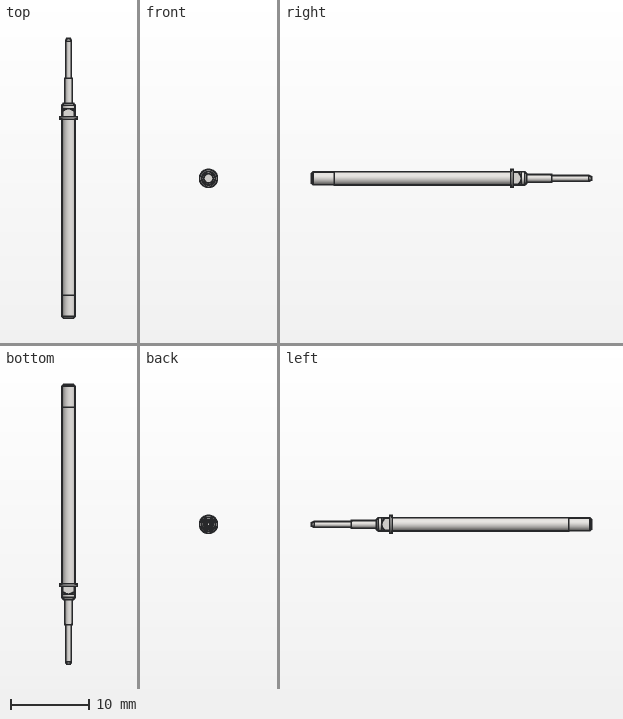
import cadquery as cq

length = 35.8
rear_y = -length / 2
tip_y = length / 2

tip_flat_diameter = 0.43
pin_diameter = 0.75
sleeve_diameter = 1.0
neck_diameter = 1.2
body_diameter = 1.72
tail_diameter = 1.7
flange_diameter = 2.3

tip_cone_length = 0.35
pin_length = 5.1
sleeve_length = 3.2
neck_cone_length = 0.3
collar_length = 0.43
square_length = 1.0
flange_thickness = 0.32
tail_length = 2.95
rear_chamfer = 0.25

square_side = body_diameter
corner_cone_length = 0.32

tip_shoulder_y = tip_y - tip_cone_length
pin_end_y = tip_y - pin_length
sleeve_end_y = pin_end_y - sleeve_length
collar_front_y = sleeve_end_y - neck_cone_length
square_front_y = collar_front_y - collar_length
flange_front_y = square_front_y - square_length
flange_rear_y = flange_front_y - flange_thickness
tail_front_y = rear_y + tail_length

pin_radius = pin_diameter / 2
sleeve_radius = sleeve_diameter / 2
neck_radius = neck_diameter / 2
body_radius = body_diameter / 2
tail_radius = tail_diameter / 2
flange_radius = flange_diameter / 2


def revolve_about_y(outline):
    """Revolve a list of (radius, y) points, closed along the Y axis."""
    start_y = outline[0][1]
    end_y = outline[-1][1]
    points = [(0, start_y)] + outline + [(0, end_y)]
    return cq.Workplane("XY").polyline(points).close().revolve(360, (0, 0, 0), (0, 1, 0))


def make_turned_body():
    """Round stepped pin, from the chamfered rear end to the tip."""
    return revolve_about_y([
        (tail_radius - rear_chamfer, rear_y),
        (tail_radius, rear_y + rear_chamfer),
        (tail_radius, tail_front_y),
        (body_radius, tail_front_y),
        (body_radius, flange_rear_y),
        (flange_radius, flange_rear_y),
        (flange_radius, flange_front_y),
        (body_radius, flange_front_y),
        (body_radius, collar_front_y),
        (neck_radius, sleeve_end_y),
        (sleeve_radius, sleeve_end_y),
        (sleeve_radius, pin_end_y),
        (pin_radius, pin_end_y),
        (pin_radius, tip_shoulder_y),
        (tip_flat_diameter / 2, tip_y),
    ])


def make_square_section():
    """Square ahead of the flange, kept within the flange diameter and coned at the front."""
    block = cq.Workplane("XY").box(square_side, square_length, square_side)
    block = block.translate((0, flange_front_y + square_length / 2, 0))
    envelope = revolve_about_y([
        (flange_radius, flange_front_y),
        (flange_radius, square_front_y - corner_cone_length),
        (body_radius, square_front_y),
    ])
    return block.intersect(envelope)


result = make_turned_body().union(make_square_section())